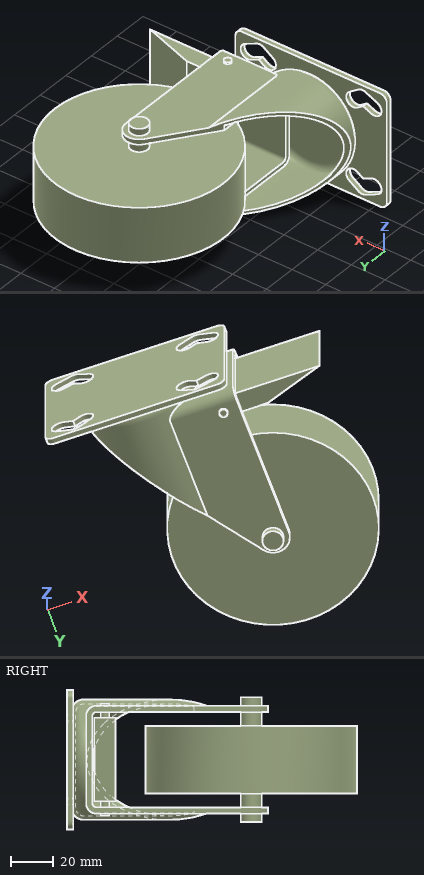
import cadquery as cq
import math


PLATE_LENGTH = 90.0
PLATE_WIDTH = 66.0
PLATE_THICKNESS = 3.0
PLATE_CORNER_RADIUS = 4.0

SLOT_RADIUS = 4.25
SLOT_OUTER_END = (37.5, 22.75)
SLOT_ELBOW = (30.5, 26.0)
SLOT_INNER_END = (25.15, 22.25)

WHEEL_RADIUS = 50.0
WHEEL_WIDTH = 32.0
WHEEL_X = 38.0
WHEEL_Y = 87.0
AXLE_RADIUS = 5.0
AXLE_LENGTH = 59.0

CUP_RADIUS = 28.5
CUP_WALL = 2.0
CUP_BASE_Y = 2.0
CUP_BASE_RADIUS = 6.0

FORK_WIDTH = 51.0
FORK_WALL = 3.0
FORK_BASE_Y = 9.0
FORK_BEND_RADIUS = 5.0
ARM_TIP_RADIUS = 8.0
FORK_RIGHT_X = WHEEL_X + ARM_TIP_RADIUS
FORK_LEFT_X = 8.25
FORK_TOP_Y = WHEEL_Y + ARM_TIP_RADIUS
SLANT_START_Y = 9.4

PEDAL_WIDTH = 39.4
PEDAL_THICKNESS = 10.0
PEDAL_PIVOT_Y = 18.0
PEDAL_SLOPE_X = 58.5
PEDAL_TIP_X = 88.0
PIN_RADIUS = 2.0
PIN_LENGTH = 53.0


def cylinder_along_z(x, y, radius, length):
    """Cylinder parallel to Z, centred on the plane Z = 0."""
    return cq.Workplane("XY").center(x, y).circle(radius).extrude(length / 2, both=True)


def upright_plane(y):
    """Sketch plane at height y with local axes X and Z; negative extrusions go up."""
    return cq.Workplane("XZ", origin=(0, y, 0))


def straight_slot(start, end):
    """Cutter for one round-ended slot through the plate."""
    dx = end[0] - start[0]
    dz = end[1] - start[1]
    return (
        upright_plane(0)
        .center((start[0] + end[0]) / 2, (start[1] + end[1]) / 2)
        .slot2D(math.hypot(dx, dz) + 2 * SLOT_RADIUS, 2 * SLOT_RADIUS, math.degrees(math.atan2(dz, dx)))
        .extrude(-PLATE_THICKNESS)
    )


def make_plate():
    plate = (
        upright_plane(0)
        .rect(PLATE_LENGTH, PLATE_WIDTH)
        .extrude(-PLATE_THICKNESS)
        .edges("|Y")
        .fillet(PLATE_CORNER_RADIUS)
    )
    for side_x in (-1, 1):
        for side_z in (-1, 1):
            outer, elbow, inner = [
                (side_x * x, side_z * z) for x, z in (SLOT_OUTER_END, SLOT_ELBOW, SLOT_INNER_END)
            ]
            plate = plate.cut(straight_slot(outer, elbow)).cut(straight_slot(elbow, inner))
    return plate


def round_bottomed_cylinder(radius, base_y, base_radius):
    return (
        upright_plane(base_y)
        .circle(radius)
        .extrude(base_y - FORK_TOP_Y)
        .faces("<Y")
        .edges()
        .fillet(base_radius)
    )


def channel_block(width, base_y, bend_radius):
    """Block over the fork length with its two lower long edges rounded."""
    return (
        cq.Workplane("XY")
        .box(FORK_RIGHT_X - FORK_LEFT_X, FORK_TOP_Y - base_y, width, centered=(False, False, True))
        .translate((FORK_LEFT_X, base_y, 0))
        .edges("|X and <Y")
        .fillet(bend_radius)
    )


def make_side_envelope():
    """Side outline of the housing: slanted front, round arm tip, straight back."""
    dx = WHEEL_X + CUP_RADIUS
    dy = WHEEL_Y - SLANT_START_Y
    slant_angle = math.atan2(dy, dx) + math.asin(ARM_TIP_RADIUS / math.hypot(dx, dy))
    normal_angle = slant_angle + math.pi / 2
    arc_middle_angle = normal_angle / 2

    def tip_point(angle):
        return (WHEEL_X + ARM_TIP_RADIUS * math.cos(angle), WHEEL_Y + ARM_TIP_RADIUS * math.sin(angle))

    return (
        cq.Workplane("XY")
        .moveTo(-CUP_RADIUS, 0)
        .lineTo(-CUP_RADIUS, SLANT_START_Y)
        .lineTo(*tip_point(normal_angle))
        .threePointArc(tip_point(arc_middle_angle), tip_point(0))
        .lineTo(FORK_RIGHT_X, 0)
        .close()
        .extrude(PLATE_WIDTH / 2, both=True)
    )


def make_housing():
    """Swivel cup and fork, trimmed to the common side outline."""
    cup = round_bottomed_cylinder(CUP_RADIUS, CUP_BASE_Y, CUP_BASE_RADIUS)
    cup_bore = round_bottomed_cylinder(
        CUP_RADIUS - CUP_WALL, CUP_BASE_Y + CUP_WALL, CUP_BASE_RADIUS - CUP_WALL
    )
    fork = channel_block(FORK_WIDTH, FORK_BASE_Y, FORK_BEND_RADIUS)
    fork_inside = channel_block(
        FORK_WIDTH - 2 * FORK_WALL, FORK_BASE_Y + FORK_WALL, FORK_BEND_RADIUS - FORK_WALL
    )
    return cup.cut(cup_bore).union(fork).cut(fork_inside).intersect(make_side_envelope())


def make_pedal():
    """Wedge-shaped pedal with a round end about its pivot."""
    half = PEDAL_THICKNESS / 2
    bottom_y = PEDAL_PIVOT_Y - half
    top_y = PEDAL_PIVOT_Y + half
    return (
        cq.Workplane("XY")
        .moveTo(WHEEL_X, bottom_y)
        .lineTo(PEDAL_TIP_X, bottom_y)
        .lineTo(PEDAL_SLOPE_X, top_y)
        .lineTo(WHEEL_X, top_y)
        .threePointArc((WHEEL_X - half, PEDAL_PIVOT_Y), (WHEEL_X, bottom_y))
        .close()
        .extrude(PEDAL_WIDTH / 2, both=True)
    )


wheel = cylinder_along_z(WHEEL_X, WHEEL_Y, WHEEL_RADIUS, WHEEL_WIDTH)
axle = cylinder_along_z(WHEEL_X, WHEEL_Y, AXLE_RADIUS, AXLE_LENGTH)
pin = cylinder_along_z(WHEEL_X, PEDAL_PIVOT_Y, PIN_RADIUS, PIN_LENGTH)

result = make_plate()
for component in (make_housing(), axle, wheel, pin, make_pedal()):
    result = result.union(component)